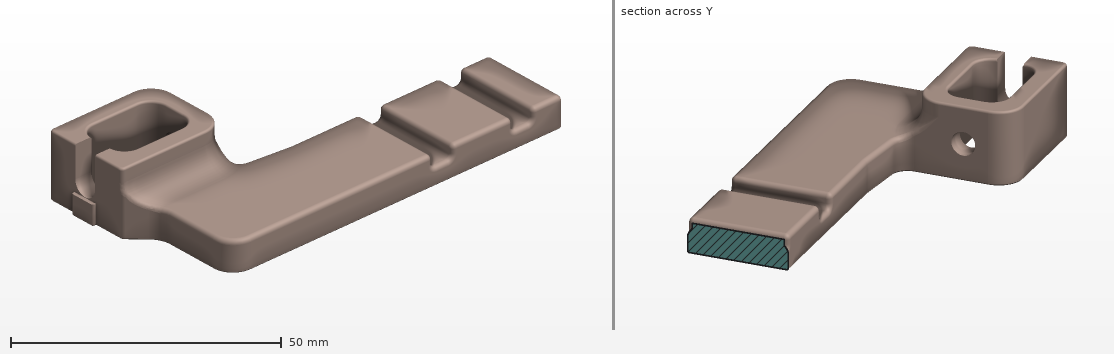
import cadquery as cq
import math

block_width = 20.0
block_length = 26.0
block_height = 15.0
block_back_radius = 5.0
block_front_radius = 1.0
block_top_round = 0.5

pocket_width = 12.0
pocket_length = 18.0
pocket_radius = 3.5

hole_height = 7.5
hole_diameter = 4.8
slot_width = 5.4

tab_width = 5.9
tab_height = 4.7
tab_depth = 0.8
tab_round = 0.5

arm_right = 44.22
arm_front = 5.3
arm_back = 88.0
arm_height = 7.0
arm_width = 20.3
arm_corner_radius = 5.0
arm_end_radius = 0.8
arm_top_round = 1.0

web_run = 5.0
web_start_radius = 1.5
web_end_radius = 5.0
neck_left = 22.9
neck_start = 28.7
neck_end = 38.5
neck_radius = 3.0
flare_radius = 5.0

groove_centers = (58.0, 78.0)
groove_width = 5.0
groove_depth = 3.0
groove_round = 1.0

bottom_chamfer = 0.3

overlap = 1.0
pick_reach = 0.2

block_center_x = block_width / 2
block_center_y = block_length / 2
wall_thickness = (block_length - pocket_length) / 2
arm_left = arm_right - arm_width


def round_corner(body, point, radius):
    """Round the vertical edge that stands at the given point."""
    x, y = point
    corner = cq.selectors.BoxSelector(
        (x - pick_reach, y - pick_reach, 0),
        (x + pick_reach, y + pick_reach, block_height),
    )
    return body.edges("|Z").edges(corner).fillet(radius)


def make_footprint(height):
    """Common outline of block and arm, joined by a slanted web."""
    neck_slope = (arm_left - neck_left) / (neck_end - neck_start)
    neck_corner = (neck_left - neck_slope * (neck_start - block_length), block_length)
    rounded_corners = [
        ((0, 0), block_front_radius),
        ((block_width, 0), web_start_radius),
        ((block_width + web_run, arm_front), web_end_radius),
        ((arm_right, arm_front), arm_corner_radius),
        ((arm_right, arm_back), arm_end_radius),
        ((arm_left, arm_back), arm_end_radius),
        ((arm_left, neck_end), None),
        (neck_corner, neck_radius),
        ((0, block_length), block_back_radius),
    ]
    outline = [point for point, _ in rounded_corners]
    body = cq.Workplane("XY").polyline(outline).close().extrude(height)
    for point, radius in rounded_corners:
        if radius is not None:
            body = round_corner(body, point, radius)
    return body


def make_flare():
    """Concave fillet that rises from the arm to the block and wraps its back corner."""
    corner_x = block_width - block_back_radius
    corner_y = block_length - block_back_radius
    foot = block_back_radius + flare_radius
    top = arm_height + flare_radius
    sag = flare_radius * (1 - math.sqrt(0.5))
    profile = (
        cq.Workplane("XZ", origin=(corner_x, corner_y, 0))
        .lineTo(0, top)
        .lineTo(block_back_radius, top)
        .threePointArc((block_back_radius + sag, arm_height + sag), (foot, arm_height))
        .lineTo(foot, 0)
        .close()
    )
    straight = profile.extrude(corner_y)
    bend = profile.toPending().revolve(90, (0, 0, 0), (0, 1, 0))
    return straight.union(bend).intersect(make_footprint(block_height))


def make_groove(center_y):
    """Cutter for a cross groove with rounded floor corners."""
    cutter = cq.Workplane("XY").box(arm_width + 2 * overlap, groove_width, groove_depth * 2)
    cutter = cutter.edges("|X and <Z").fillet(groove_round)
    return cutter.translate((arm_left + arm_width / 2, center_y, arm_height))


def make_arm():
    """Grooved arm with its flare; one round follows the whole top outline and the groove lips."""
    body = make_footprint(arm_height).union(make_flare())
    for center_y in groove_centers:
        body = body.cut(make_groove(center_y))
    groove_wall_bottom = arm_height - groove_depth + groove_round
    sharp_edges = cq.selectors.BoxSelector(
        (arm_left - overlap, neck_start, groove_wall_bottom + pick_reach),
        (arm_right + overlap, arm_back + overlap, arm_height + overlap),
    )
    return body.edges(sharp_edges).fillet(arm_top_round)


def make_pocket():
    """Cutter for the pocket, as tall as the block."""
    base = cq.Workplane("XY").center(block_center_x, block_center_y)
    cutter = base.rect(pocket_width, pocket_length).extrude(block_height)
    return cutter.edges("|Z").fillet(pocket_radius)


def make_block():
    """Block with its pocket; the outer and inner top rims are rounded."""
    body = cq.Workplane("XY").box(block_width, block_length, block_height, centered=False)
    body = body.edges("|Z and >Y").fillet(block_back_radius)
    body = body.edges("|Z and <Y").fillet(block_front_radius)
    return body.cut(make_pocket()).faces(">Z").edges().fillet(block_top_round)


def make_tab():
    """Low tab with rounded upright edges, let into the front wall."""
    tab = cq.Workplane("XY").box(tab_width, tab_depth + overlap, tab_height, centered=(True, False, False))
    tab = tab.edges("|Z and <Y").fillet(tab_round)
    return tab.translate((block_center_x, -tab_depth, 0))


def cut_cross_openings(body):
    """Cut the round hole in the back wall and the round-bottomed slot in the front wall."""
    hole_plane = cq.Workplane("XZ", origin=(block_center_x, block_length + overlap, hole_height))
    hole = hole_plane.circle(hole_diameter / 2).extrude(overlap + block_center_y)
    slot_plane = cq.Workplane("XZ", origin=(block_center_x, wall_thickness, hole_height))
    slot_depth = wall_thickness + tab_depth + overlap
    slot_floor = slot_plane.circle(slot_width / 2).extrude(slot_depth)
    slot_walls = slot_plane.center(0, block_height / 2).rect(slot_width, block_height).extrude(slot_depth)
    return body.cut(hole).cut(slot_floor).cut(slot_walls)


result = make_arm().union(make_block()).union(make_tab())
result = result.faces("<Z").edges().chamfer(bottom_chamfer)
result = cut_cross_openings(result.cut(make_pocket()))